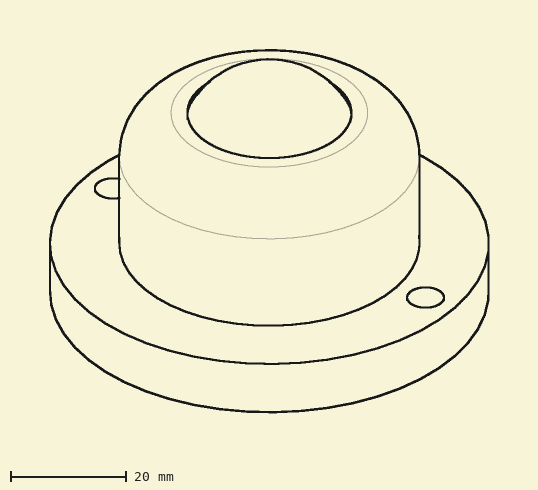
import cadquery as cq

flange_diameter = 76.0
flange_height = 10.0
bolt_hole_diameter = 6.4
bolt_hole_offset = 32.0

cup_diameter = 52.0
cup_top = 37.0
shoulder_radius = 9.0

overall_height = 45.0
ball_radius = 16.0
ball_center_height = overall_height - ball_radius
opening_diameter = 28.4


def make_ball():
    return cq.Workplane("XY").sphere(ball_radius).translate((0, 0, ball_center_height))


def make_flange():
    return (
        cq.Workplane("XY")
        .circle(flange_diameter / 2)
        .pushPoints([(-bolt_hole_offset, 0), (bolt_hole_offset, 0)])
        .circle(bolt_hole_diameter / 2)
        .extrude(flange_height)
    )


def make_cup():
    return (
        cq.Workplane("XY")
        .circle(cup_diameter / 2)
        .extrude(cup_top)
        .faces(">Z")
        .edges()
        .fillet(shoulder_radius)
    )


def make_ball_pocket():
    lip = (
        cq.Workplane("XY")
        .workplane(offset=ball_center_height)
        .circle(opening_diameter / 2)
        .extrude(cup_top - ball_center_height)
    )
    return make_ball().union(lip)


def make_housing():
    return make_flange().union(make_cup()).cut(make_ball_pocket())


housing = make_housing()
ball = make_ball()
result = cq.Compound.makeCompound([housing.solids().val(), ball.val()])